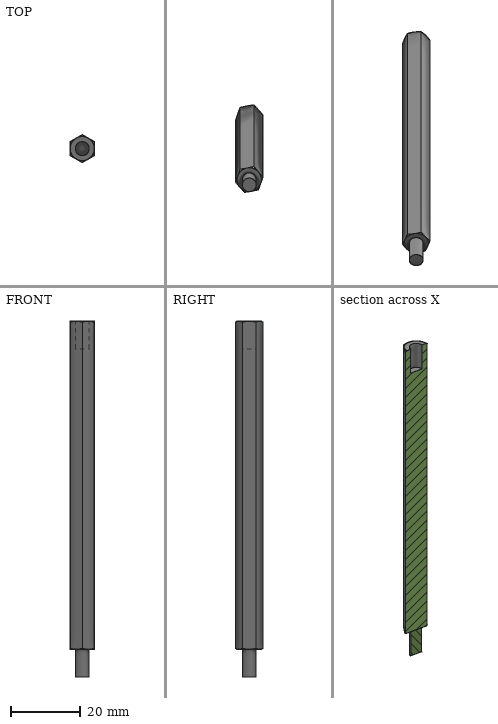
import cadquery as cq
import math

TOTAL_LENGTH = 103.0
STUD_LENGTH = 8.0
THREAD_DIAMETER = 4.0
HEX_SIDES = 6
ACROSS_FLATS = 7.0
BORE_DEPTH = STUD_LENGTH
CHAMFER_ANGLE = 30.0

SPACER_LENGTH = TOTAL_LENGTH - STUD_LENGTH
FLAT_RADIUS = ACROSS_FLATS / 2
CORNER_RADIUS = FLAT_RADIUS / math.cos(math.pi / HEX_SIDES)
CORNER_DROP = (CORNER_RADIUS - FLAT_RADIUS) * math.tan(math.radians(CHAMFER_ANGLE))


def make_chamfer_envelope():
    """Round bar coned at both ends, which trims the hexagon's corners."""
    return (
        cq.Workplane("XZ")
        .moveTo(0, 0)
        .lineTo(FLAT_RADIUS, 0)
        .lineTo(CORNER_RADIUS, CORNER_DROP)
        .lineTo(CORNER_RADIUS, SPACER_LENGTH - CORNER_DROP)
        .lineTo(FLAT_RADIUS, SPACER_LENGTH)
        .lineTo(0, SPACER_LENGTH)
        .close()
        .revolve(360, (0, 0, 0), (0, 1, 0))
    )


def make_spacer():
    """Hexagonal spacer with corners along Y and a blind bore in its top."""
    hexagon = (
        cq.Workplane("XY")
        .transformed(rotate=(0, 0, 90))
        .polygon(HEX_SIDES, 2 * CORNER_RADIUS)
        .extrude(SPACER_LENGTH)
    )
    bore = (
        cq.Workplane("XY", origin=(0, 0, SPACER_LENGTH))
        .circle(THREAD_DIAMETER / 2)
        .extrude(-BORE_DEPTH)
    )
    return hexagon.intersect(make_chamfer_envelope()).cut(bore).solids()


def make_stud():
    """Round stud that meets the bottom face of the spacer."""
    return cq.Workplane("XY").circle(THREAD_DIAMETER / 2).extrude(-STUD_LENGTH)


spacer = make_spacer()
stud = make_stud()

result = cq.Compound.makeCompound([spacer.val(), stud.val()])